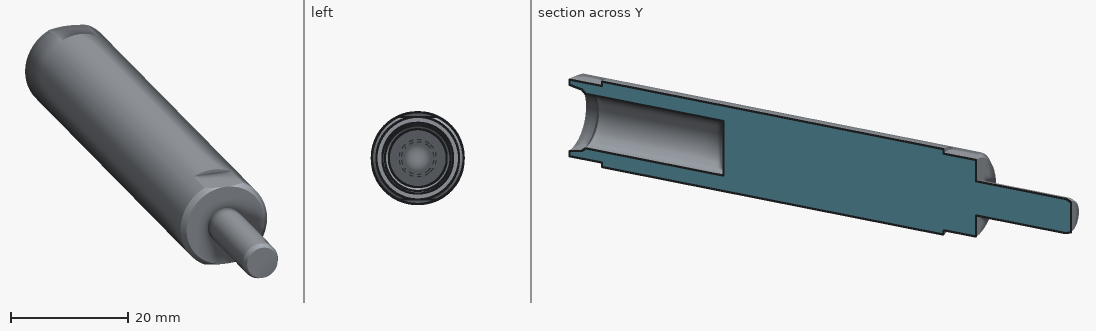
import cadquery as cq

overall_length = 97.89

body_diameter = 15.72
body_length = 79.375
body_chamfer = 0.8

flat_length = 6.35
across_flats = 14.1

stud_diameter = 6.35
stud_length = overall_length - body_length
stud_chamfer_length = 1.0
stud_chamfer_height = 0.4

mouth_diameter = 12.1
mouth_end_diameter = 11.2
mouth_depth = 2.45
ledge_depth = 0.7
bore_diameter = 9.9
bore_depth = 30.0


def rod(start_x, diameter, length):
    """Round bar along +X, centred on the X axis."""
    return cq.Workplane("YZ", origin=(start_x, 0, 0)).circle(diameter / 2).extrude(length)


def make_body():
    return rod(0, body_diameter, body_length).edges("%CIRCLE").chamfer(body_chamfer)


def make_stud():
    stud = rod(body_length, stud_diameter, stud_length)
    return stud.faces(">X").edges().chamfer(stud_chamfer_length, stud_chamfer_height)


def cut_flats(part):
    """Mill the top and bottom of both body ends down to the wrench size."""
    slab_height = body_diameter - across_flats
    for start_x in (0, body_length - flat_length):
        for side in (1, -1):
            slab = cq.Workplane("XY").box(
                flat_length, body_diameter, slab_height, centered=(False, True, True)
            )
            centre_z = side * (across_flats + slab_height) / 2
            part = part.cut(slab.translate((start_x, 0, centre_z)))
    return part


def make_bore():
    """Revolve an (x, radius) profile about the X axis, from the mouth inwards."""
    bore_radius = bore_diameter / 2
    profile = [
        (0, 0),
        (0, mouth_diameter / 2),
        (mouth_depth, mouth_end_diameter / 2),
        (mouth_depth + ledge_depth, bore_radius),
        (bore_depth, bore_radius),
        (bore_depth, 0),
    ]
    return cq.Workplane("XY").polyline(profile).close().revolve(360, (0, 0, 0), (1, 0, 0))


result = cut_flats(make_body().union(make_stud())).cut(make_bore())